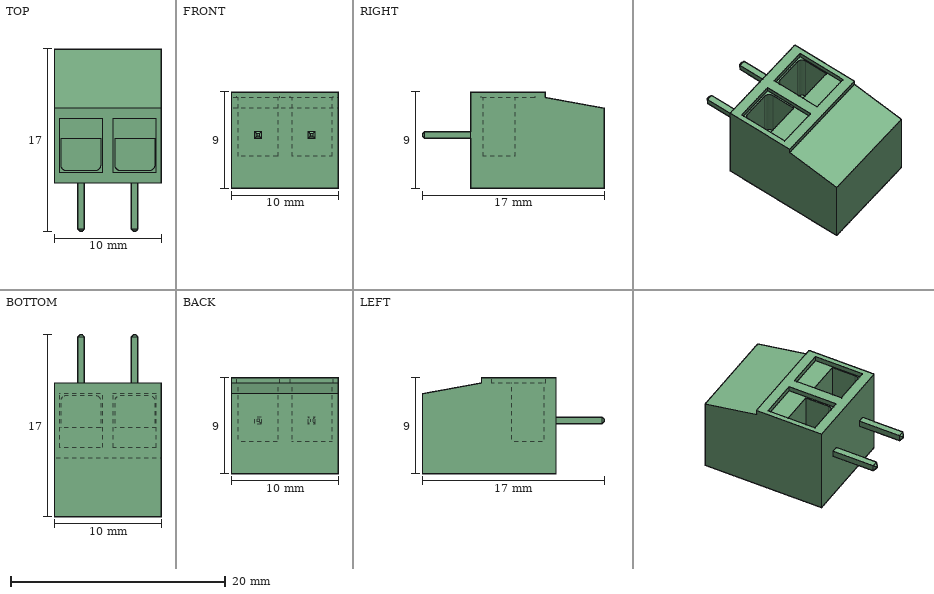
import cadquery as cq

overall_length = 17.0

housing_width = 10.0
housing_length = 12.5
housing_height = 9.0
slope_length = 5.5
step_height = 0.5
rear_drop = 1.5

pin_spacing = housing_width / 2
pin_width = 0.63
pin_length = overall_length - housing_length
pin_height = 5.0
pin_chamfer = 0.2

recess_width = 4.0
recess_length = 5.03
recess_depth = 0.5
recess_front_wall = 0.99
opening_spacing = 5.05
opening_width = 3.74
opening_length = 3.0
opening_front_wall = 1.15
opening_depth = 5.95
opening_corner_radius = 0.55


def make_housing():
    """Extrude the stepped, sloping side profile across the width."""
    step_y = housing_length - slope_length
    return (
        cq.Workplane("YZ")
        .moveTo(0, 0)
        .lineTo(housing_length, 0)
        .lineTo(housing_length, housing_height - rear_drop)
        .lineTo(step_y, housing_height - step_height)
        .lineTo(step_y, housing_height)
        .lineTo(0, housing_height)
        .close()
        .extrude(housing_width / 2, both=True)
    )


def make_pocket(x, front_wall, width, length, depth):
    """Box cut down from the flat roof, centred on x."""
    return (
        cq.Workplane("XY", origin=(x, front_wall, housing_height - depth))
        .box(width, length, depth, centered=(True, False, False))
    )


def make_wire_entry(side):
    """Recess and opening on one side: -1 for left, 1 for right."""
    recess = make_pocket(
        side * pin_spacing / 2, recess_front_wall, recess_width, recess_length, recess_depth
    )
    opening = make_pocket(
        side * opening_spacing / 2, opening_front_wall, opening_width, opening_length, opening_depth
    )
    opening = opening.faces("<Y").edges("|Z").fillet(opening_corner_radius)
    return recess.union(opening)


def make_pin(x):
    """Square pin projecting from the front face, with a chamfered tip."""
    return (
        cq.Workplane("XZ", origin=(x, 0, pin_height))
        .rect(pin_width, pin_width)
        .extrude(pin_length)
        .faces("<Y")
        .chamfer(pin_chamfer)
    )


result = make_housing()
for side in (-1, 1):
    result = result.cut(make_wire_entry(side))
    result = result.union(make_pin(side * pin_spacing / 2))